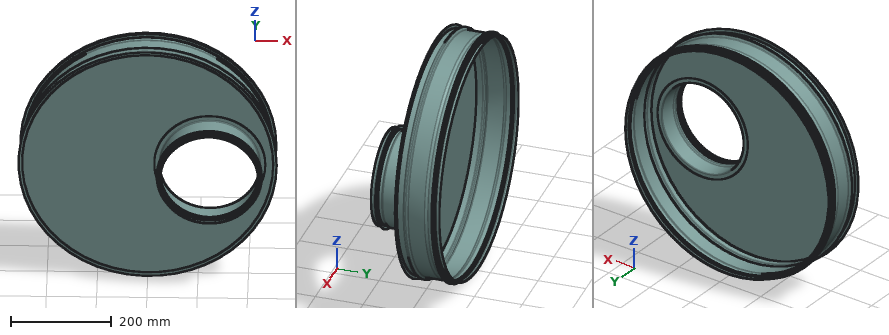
import cadquery as cq
import math


total_length = 152.48
narrow_offset = 123.4
plate_recess = 2.0

sheet = 0.5
bend = 1.0
curl_width = 1.5

wide_radius = 499.75 / 2
wide_length = 91.0
wide_flange_radius = 513.25 / 2

narrow_radius = 199.95 / 2
plate_back = plate_recess + sheet
narrow_length = total_length - wide_length + plate_back
narrow_flange_radius = 220.95 / 2

groove_depth = 2.9
wall_start = 6.6
groove_start = 8.6
wide_groove_end = 25.0
wide_shoulder_end = 31.0
narrow_groove_end = 22.0
narrow_shoulder_end = 25.0

bead_height = 5.0
bead_start = 15.8
bead_crest_start = 18.5
bead_crest_end = 22.5
bead_end = 25.5

band_thickness = 0.6
gasket_start = 9.2
gasket_end = 15.0
tall_lip_height = 7.6
tall_lip_thickness = 1.2
short_lip_height = 5.1
short_lip_thickness = 0.5
short_lip_start = 10.0


def unit(start, end):
    """Direction from start to end, as a unit vector."""
    length = math.dist(start, end)
    return (end[0] - start[0]) / length, (end[1] - start[1]) / length


def offset_corners(corners, distance):
    """Corners of the path that runs at a distance to the right of the given path."""
    directions = [unit(a, b) for a, b in zip(corners, corners[1:])]
    incoming = directions[:1] + directions
    outgoing = directions + directions[-1:]
    shifted = []
    for (x, y), u, v in zip(corners, incoming, outgoing):
        scale = distance / (1 + u[0] * v[0] + u[1] * v[1])
        shifted.append((x + scale * (u[1] + v[1]), y - scale * (u[0] + v[0])))
    return shifted


def add_rounded_path(profile, corners, left_radius, right_radius):
    """Draw on through the corners, rounding left and right turns with their own radius."""
    for before, corner, after in zip(corners, corners[1:], corners[2:]):
        u = unit(before, corner)
        v = unit(corner, after)
        turn = math.atan2(u[0] * v[1] - u[1] * v[0], u[0] * v[0] + u[1] * v[1])
        radius = left_radius if turn > 0 else right_radius
        setback = radius * math.tan(abs(turn) / 2)
        sagitta = radius / math.cos(turn / 2) - radius
        inward = unit((0, 0), (v[0] - u[0], v[1] - u[1]))
        start = (corner[0] - setback * u[0], corner[1] - setback * u[1])
        middle = (corner[0] + sagitta * inward[0], corner[1] + sagitta * inward[1])
        end = (corner[0] + setback * v[0], corner[1] + setback * v[1])
        profile = profile.lineTo(*start).threePointArc(middle, end)
    return profile.lineTo(*corners[-1])


def formed_sheet(outer_corners):
    """Ring of bent sheet, from the corners of its outer face as (radius, height)."""
    inner_corners = offset_corners(outer_corners, -sheet)
    inner_corners.reverse()
    profile = cq.Workplane("XY").moveTo(*outer_corners[0])
    profile = add_rounded_path(profile, outer_corners, bend, bend)
    profile = profile.lineTo(*inner_corners[0])
    profile = add_rounded_path(profile, inner_corners, bend + sheet, bend - sheet)
    return profile.close().revolve(360, (0, 0), (0, 1))


def flange_corners(radius, flange_radius):
    """Outer face of the flange that starts a spigot, up to its bend."""
    return [(flange_radius, sheet), (radius, sheet)]


def bead_corners(radius):
    """Outer face of the stiffening bead."""
    return [
        (radius, bead_start),
        (radius + bead_height, bead_crest_start),
        (radius + bead_height, bead_crest_end),
        (radius, bead_end),
    ]


def free_end_corners(radius, length, shoulder_end, groove_end):
    """Outer face of the gasket groove and the curled rim."""
    groove_radius = radius - groove_depth
    return [
        (radius, length - shoulder_end),
        (groove_radius, length - groove_end),
        (groove_radius, length - groove_start),
        (radius, length - wall_start),
        (radius, length),
        (radius - curl_width, length),
    ]


def gasket_ring(spigot_radius, length):
    """Band in the spigot's groove with a tall lip and a short thin lip."""
    seat = spigot_radius - groove_depth
    band = seat + band_thickness
    band_start = length - gasket_end
    short_lip = length - short_lip_start
    profile = [
        (seat, band_start),
        (seat + tall_lip_height, band_start),
        (seat + tall_lip_height, band_start + tall_lip_thickness),
        (band, band_start + tall_lip_thickness),
        (band, short_lip - short_lip_thickness),
        (seat + short_lip_height, short_lip - short_lip_thickness),
        (seat + short_lip_height, short_lip),
        (band, short_lip),
        (band, length - gasket_start),
        (seat, length - gasket_start),
    ]
    return cq.Workplane("XY").polyline(profile).close().revolve(360, (0, 0), (0, 1))


def at_narrow_spigot(body):
    """Mirror a body built along +Y to face -Y, and shift it to the narrow spigot's axis."""
    return body.mirror("XZ").translate((narrow_offset, plate_back, 0))


wide_spigot = formed_sheet(
    flange_corners(wide_radius, wide_flange_radius)
    + bead_corners(wide_radius)
    + free_end_corners(wide_radius, wide_length, wide_shoulder_end, wide_groove_end)
)
wide_gasket = gasket_ring(wide_radius, wide_length)

narrow_spigot = at_narrow_spigot(
    formed_sheet(
        flange_corners(narrow_radius, narrow_flange_radius)
        + free_end_corners(narrow_radius, narrow_length, narrow_shoulder_end, narrow_groove_end)
    )
)
narrow_gasket = at_narrow_spigot(gasket_ring(narrow_radius, narrow_length))

plate = (
    cq.Workplane("XZ", origin=(0, plate_back, 0))
    .circle(wide_radius - sheet)
    .pushPoints([(narrow_offset, 0)])
    .circle(narrow_flange_radius)
    .extrude(sheet)
)

result = cq.Compound.makeCompound(
    [
        wide_spigot.val(),
        narrow_spigot.val(),
        plate.val(),
        wide_gasket.val(),
        narrow_gasket.val(),
    ]
)